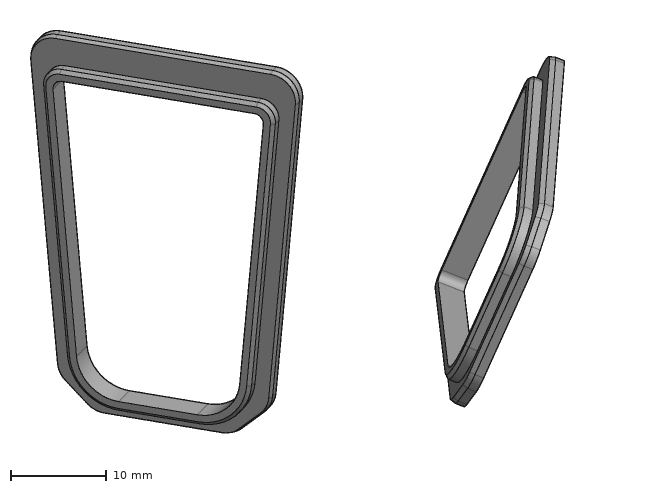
import cadquery as cq
import math


FRAME_WIDTH = 30.39
FRAME_HEIGHT = 42.84
SIDE_ANGLE = 5.0

FLANGE_TOP_RADIUS = 3.0
FLANGE_BEVEL_LEG = 3.9
FLANGE_BEVEL_RADIUS = 3.0
FLANGE_STRAIGHT_DEPTH = 1.0
FLANGE_TAPER_DEPTH = 0.6
FLANGE_TAPER_INSET = 0.2

RING_WALL = 1.2
RING_TOP_RADIUS = 2.0
RING_BOTTOM_RADIUS = 5.9
RING_STRAIGHT_DEPTH = 1.0
RING_CHAMFER = 0.4

OPENING_TOP_WIDTH = 24.0
OPENING_HEIGHT = 35.97
OPENING_BOTTOM_MARGIN = 2.5
OPENING_TOP_RADIUS = 1.0
OPENING_BOTTOM_RADIUS = 4.8

side_slope = math.tan(math.radians(SIDE_ANGLE))
flange_depth = FLANGE_STRAIGHT_DEPTH + FLANGE_TAPER_DEPTH
ring_depth = RING_STRAIGHT_DEPTH + RING_CHAMFER
total_depth = flange_depth + ring_depth
back_y = total_depth / 2
flange_front_y = back_y - flange_depth
flange_top = FRAME_HEIGHT / 2
flange_bottom = -FRAME_HEIGHT / 2
opening_bottom = flange_bottom + OPENING_BOTTOM_MARGIN
opening_top = opening_bottom + OPENING_HEIGHT


def rounded_outline(right_corners, y):
    """Closed symmetric outline at depth y.

    right_corners lists (x, z, radius) of the +X half from top to bottom; the
    -X half is its mirror image. Every corner is rounded with a tangent arc.
    """
    left_corners = [(-x, z, radius) for x, z, radius in reversed(right_corners)]
    corners = right_corners + left_corners
    arcs = []
    for i, (x, z, radius) in enumerate(corners):
        corner = cq.Vector(x, z)
        before = cq.Vector(*corners[i - 1][:2])
        after = cq.Vector(*corners[(i + 1) % len(corners)][:2])
        to_before = (before - corner).normalized()
        to_after = (after - corner).normalized()
        half_angle = to_before.getAngle(to_after) / 2
        tangent_length = radius / math.tan(half_angle)
        arc_gap = radius / math.sin(half_angle) - radius
        start = corner + to_before * tangent_length
        middle = corner + (to_before + to_after).normalized() * arc_gap
        end = corner + to_after * tangent_length
        arcs.append([point.toTuple()[:2] for point in (start, middle, end)])

    outline = cq.Workplane("XZ", origin=(0, y, 0)).moveTo(*arcs[0][0])
    for i, (start, middle, end) in enumerate(arcs):
        if i > 0:
            outline = outline.lineTo(*start)
        outline = outline.threePointArc(middle, end)
    return outline.close()


def flange_corners():
    """Corners of the flange: rounded on top, bevelled at the bottom."""
    lean = math.radians(SIDE_ANGLE)
    top_tangent_length = FLANGE_TOP_RADIUS * math.tan(math.radians(45) + lean / 2)
    top_x = FRAME_WIDTH / 2 - FLANGE_TOP_RADIUS + top_tangent_length
    bottom_x = top_x - FRAME_HEIGHT * side_slope
    bevel_side_x = bottom_x + FLANGE_BEVEL_LEG * math.sin(lean)
    bevel_side_z = flange_bottom + FLANGE_BEVEL_LEG * math.cos(lean)
    return [
        (top_x, flange_top, FLANGE_TOP_RADIUS),
        (bevel_side_x, bevel_side_z, FLANGE_BEVEL_RADIUS),
        (bottom_x - FLANGE_BEVEL_LEG, flange_bottom, FLANGE_BEVEL_RADIUS),
    ]


def opening_corners(offset, top_radius, bottom_radius):
    """Corners of the opening, moved outward by an even offset, with the given radii."""
    side_shift = offset / math.cos(math.radians(SIDE_ANGLE))
    top_x = OPENING_TOP_WIDTH / 2 + side_shift + offset * side_slope
    height = OPENING_HEIGHT + 2 * offset
    return [
        (top_x, opening_top + offset, top_radius),
        (top_x - height * side_slope, opening_bottom - offset, bottom_radius),
    ]


def make_flange():
    """Plate with a straight rim at the back and a slightly tapered rim in front."""
    taper_start_y = back_y - FLANGE_STRAIGHT_DEPTH
    taper_angle = math.degrees(math.atan2(FLANGE_TAPER_INSET, FLANGE_TAPER_DEPTH))
    straight = rounded_outline(flange_corners(), back_y).extrude(FLANGE_STRAIGHT_DEPTH)
    tapered = rounded_outline(flange_corners(), taper_start_y).extrude(
        FLANGE_TAPER_DEPTH, taper=taper_angle
    )
    return straight.union(tapered)


def make_ring():
    """Raised block around the opening with a chamfered front edge."""
    corners = opening_corners(RING_WALL, RING_TOP_RADIUS, RING_BOTTOM_RADIUS)
    ring = rounded_outline(corners, flange_front_y).extrude(ring_depth)
    return ring.faces("<Y").chamfer(RING_CHAMFER)


def make_opening():
    """Straight-walled cutter through the full depth."""
    corners = opening_corners(0, OPENING_TOP_RADIUS, OPENING_BOTTOM_RADIUS)
    return rounded_outline(corners, back_y).extrude(total_depth)


result = make_flange().union(make_ring()).cut(make_opening())